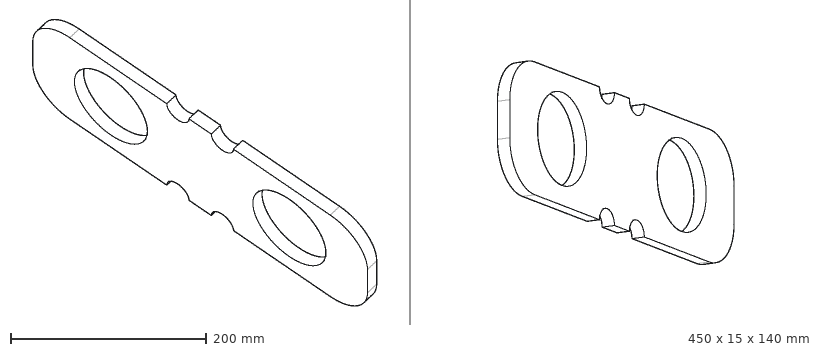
import cadquery as cq

length = 450.0
height = 140.0
thickness = 15.0
corner_radius = 50.0

opening_diameter = 98.0
opening_spacing = 240.0

notch_radius = 15.0
notch_spacing = 60.0


def make_plate():
    """Flat plate with rounded corners, centred on the origin."""
    plate = cq.Workplane("XY").box(length, thickness, height)
    return plate.edges("|Y").fillet(corner_radius)


def through_cylinders(spacing_x, spacing_z, rows, radius):
    """Grid of cylinders along Y that pass through the plate."""
    return (
        cq.Workplane("XZ", origin=(0, thickness / 2, 0))
        .rarray(spacing_x, spacing_z, 2, rows)
        .circle(radius)
        .extrude(thickness)
    )


openings = through_cylinders(opening_spacing, height, 1, opening_diameter / 2)
notches = through_cylinders(notch_spacing, height, 2, notch_radius)

result = make_plate().cut(openings).cut(notches)